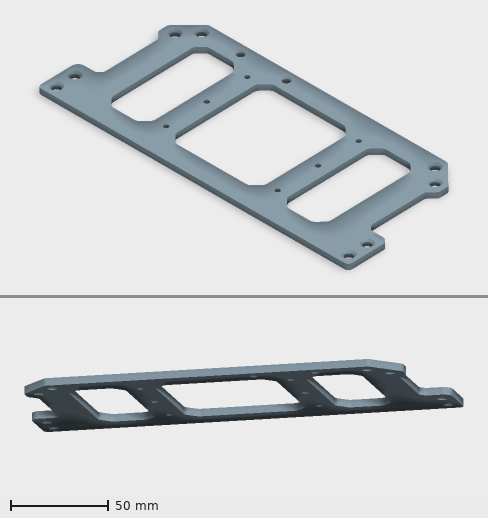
import cadquery as cq

length = 223.5
width = 100.0
thickness = 4.0

half_length = length / 2
tab_depth = 30.0
waist_half_length = 96.0
ear_half_length = 100.8
ear_chamfer = 14.8
ear_underside_y = 78.0
ear_step = ear_half_length - waist_half_length
tab_chamfer = 3.0
corner_radius = 3.0

window_front_y = 14.0
window_back_y = 85.9
window_chamfer = 6.0
outer_back_chamfer = 5.1
window_blend_radius = 4.0
center_window_half_length = 32.2
side_window_inner_x = 48.0
side_window_outer_x = 78.0

large_bore = 5.1
large_head = 8.0
small_bore = 4.2
small_head = 5.8
countersink_angle = 90
large_hole_points = [(105.0, 7.2), (105.0, 20.8), (93.5, 83.0), (83.8, 92.8)]
small_hole_points = [(-56.5, 93.5), (-23.7, 93.5)]

bar_hole_diameter = 3.4
bar_hole_x = 40.0
bar_hole_pitch = 30.0
bar_hole_middle_y = 51.5


def mirrored(points):
    """Return the points together with their reflections across the YZ plane."""
    return points + [(-x, y) for x, y in points]


def plate_blank():
    """Outer profile with wide front tabs and chamfered rear ears."""
    right_side = [
        (half_length, 0),
        (half_length, tab_depth - tab_chamfer),
        (half_length - tab_chamfer, tab_depth),
        (waist_half_length + tab_chamfer, tab_depth),
        (waist_half_length, tab_depth + tab_chamfer),
        (waist_half_length, ear_underside_y - ear_step),
        (ear_half_length, ear_underside_y),
        (ear_half_length, width - ear_chamfer),
        (ear_half_length - ear_chamfer, width),
    ]
    left_side = [(-x, y) for x, y in reversed(right_side)]
    blank = cq.Workplane("XY").polyline(right_side + left_side).close().extrude(thickness)
    return blank.edges("|Z").fillet(corner_radius)


def window(half_span, outer_chamfer):
    """Octagonal window cutter centred on X = 0, with softened corners.

    The chamfer of the back corner on the +X side is given separately.
    """
    inset = half_span - window_chamfer
    outline = [
        (-inset, window_front_y),
        (inset, window_front_y),
        (half_span, window_front_y + window_chamfer),
        (half_span, window_back_y - outer_chamfer),
        (half_span - outer_chamfer, window_back_y),
        (-inset, window_back_y),
        (-half_span, window_back_y - window_chamfer),
        (-half_span, window_front_y + window_chamfer),
    ]
    cutter = cq.Workplane("XY").polyline(outline).close().extrude(thickness)
    return cutter.edges("|Z").fillet(window_blend_radius)


def countersink(body, points, bore, head):
    """Countersunk through holes opening on the top face."""
    top = body.faces(">Z").workplane(origin=(0, 0, thickness))
    return top.pushPoints(points).cskHole(bore, head, countersink_angle)


plate = plate_blank()
plate = plate.cut(window(center_window_half_length, window_chamfer))

side_window_middle_x = (side_window_inner_x + side_window_outer_x) / 2
side_window_half_length = (side_window_outer_x - side_window_inner_x) / 2
right_window = window(side_window_half_length, outer_back_chamfer).translate((side_window_middle_x, 0, 0))
plate = plate.cut(right_window).cut(right_window.mirror("YZ"))

plate = countersink(plate, mirrored(large_hole_points), large_bore, large_head)
plate = countersink(plate, small_hole_points, small_bore, small_head)

bar_hole_rows = (-1, 0, 1)
bar_hole_points = [(bar_hole_x, bar_hole_middle_y + row * bar_hole_pitch) for row in bar_hole_rows]
result = (
    plate.faces(">Z")
    .workplane(origin=(0, 0, thickness))
    .pushPoints(mirrored(bar_hole_points))
    .hole(bar_hole_diameter)
)